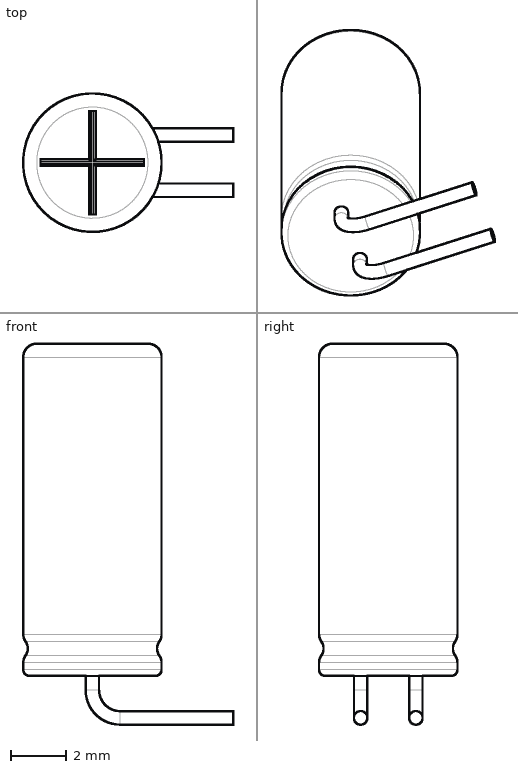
import cadquery as cq
import math

total_height = 13.76
can_height = 12.0
can_radius = 2.5
top_round = 0.5
base_round = 0.23

groove_height = 0.99
groove_half_width = 0.51
groove_depth = 0.17

score_length = 3.74
score_width = 0.25
score_floor_width = 0.08
score_depth = 0.1

lead_diameter = 0.5
lead_pitch = 2.0
lead_bend_radius = 1.0
lead_end_x = 5.09
lead_axis_drop = total_height - can_height - lead_diameter / 2
lead_embed = 0.14


def make_can():
    """Revolve the half profile of the rounded, crimped can."""
    arc_height = groove_half_width / 2
    arc_depth = groove_depth / 2
    arc_radius = (arc_height**2 + arc_depth**2) / (2 * arc_depth)
    half_turn = math.asin(arc_height / arc_radius) / 2
    mid_inset = arc_radius * (1 - math.cos(half_turn))
    mid_rise = arc_radius * math.sin(half_turn)

    groove_bottom = groove_height - groove_half_width
    groove_top = groove_height + groove_half_width
    blend_radius = can_radius - arc_depth
    round_mid = math.sqrt(0.5)

    profile = (
        cq.Workplane("XZ")
        .lineTo(can_radius - base_round, 0)
        .threePointArc(
            (can_radius - base_round * (1 - round_mid), base_round * (1 - round_mid)),
            (can_radius, base_round),
        )
        .lineTo(can_radius, groove_bottom)
        .threePointArc(
            (can_radius - mid_inset, groove_bottom + mid_rise),
            (blend_radius, groove_height - arc_height),
        )
        .threePointArc(
            (can_radius - groove_depth, groove_height),
            (blend_radius, groove_height + arc_height),
        )
        .threePointArc(
            (can_radius - mid_inset, groove_top - mid_rise),
            (can_radius, groove_top),
        )
        .lineTo(can_radius, can_height - top_round)
        .threePointArc(
            (can_radius - top_round * (1 - round_mid), can_height - top_round * (1 - round_mid)),
            (can_radius - top_round, can_height),
        )
        .lineTo(0, can_height)
        .close()
    )
    return profile.revolve(360, (0, 0, 0), (0, 1, 0))


def make_score(angle):
    """Tapered, flat-floored score centred on the top face, turned about Z."""
    return (
        cq.Workplane("YZ", origin=(-score_length / 2, 0, can_height))
        .moveTo(-score_width / 2, 0)
        .lineTo(-score_floor_width / 2, -score_depth)
        .lineTo(score_floor_width / 2, -score_depth)
        .lineTo(score_width / 2, 0)
        .close()
        .extrude(score_length)
        .rotate((0, 0, 0), (0, 0, 1), angle)
    )


def make_lead(y):
    """Round wire swept down, through a quarter bend and out along +X."""
    bend_start = lead_bend_radius - lead_axis_drop
    bend_mid = lead_bend_radius * (1 - math.sqrt(0.5))
    path = (
        cq.Workplane("XZ", origin=(0, y, 0))
        .moveTo(0, lead_embed)
        .lineTo(0, bend_start)
        .threePointArc(
            (bend_mid, bend_mid - lead_axis_drop),
            (lead_bend_radius, -lead_axis_drop),
        )
        .lineTo(lead_end_x, -lead_axis_drop)
    )
    return cq.Workplane("XY", origin=(0, y, lead_embed)).circle(lead_diameter / 2).sweep(path)


result = make_can()
for score_angle in (0, 90):
    result = result.cut(make_score(score_angle))
for lead_y in (-lead_pitch / 2, lead_pitch / 2):
    result = result.union(make_lead(lead_y))